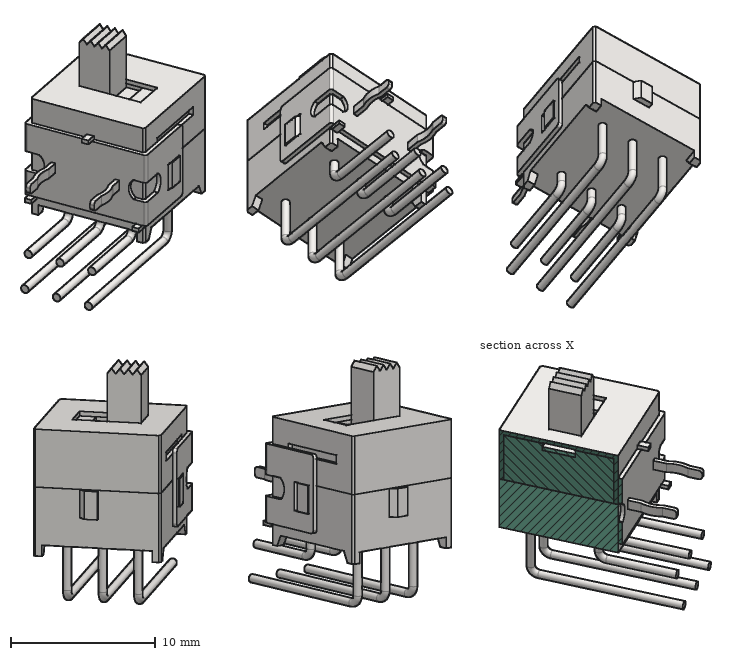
import cadquery as cq
import math


HOUSING_X = 9.01
HOUSING_Y = 8.8
CORNER_CHAMFER = 0.15
SPLIT_Z = 4.14
ROOF_Z = 8.27

FOOT_HEIGHT = 0.8
FOOT_GAP_X = 7.8
FOOT_GAP_Y_TOP = 6.76
FOOT_GAP_Y_BOTTOM = 7.55

LATCH_HEIGHT_Z = 2.02
LATCH_RISE = 0.4
SIDE_LATCH_FRONT_Y = -1.54
SIDE_LATCH_BACK_Y = -0.02
REAR_LATCH_LEFT_X = -0.1
REAR_LATCH_RIGHT_X = 1.22

PIN_DIAMETER = 0.61
PIN_PITCH = 2.51
PIN_BEND_RADIUS = 0.61
LONG_PIN_LOWEST_Z = -4.45
LONG_PIN_Z = LONG_PIN_LOWEST_Z + PIN_DIAMETER / 2
SHORT_PIN_Z = LONG_PIN_Z + PIN_PITCH
LONG_PIN_TIP_Y = -8.82
SHORT_PIN_TIP_Y = -8.32

COVER_THICKNESS = 0.33
SLOT_X = 4.86
WINDOW_Y = 5.11
WINDOW_BOTTOM_Z = 6.02
WINDOW_TOP_Z = 6.65

KNOB_WIDTH = 2.4
KNOB_TIP_Z = 12.09
TOOTH_COUNT = 4
TOOTH_DEPTH = 0.4
FLANGE_REACH = 1.29
FLANGE_DROP = 0.3
FLANGE_THICKNESS = 0.3

SHEET = 0.31
BRACKET_BOTTOM_Z = 0.78
BRACKET_TOP_Z = 6.37
BRACKET_BACK_Y = 0.5
BEND_RADIUS = 0.2
LEG_CORNER_RADIUS = 0.26
NOTCH_Z = 3.42
NOTCH_HEIGHT = 1.52
NOTCH_BULGE = 0.41
NOTCH_STRAIGHT_Y = -3.05
LEFT_NOTCH_STRAIGHT_X = 3.65
RIGHT_NOTCH_STRAIGHT_X = 3.84
TAB_WIDTH_TOP = 0.53
TAB_WIDTH_BOTTOM = 0.51
TAB_TIP_Y = -5.23
TAB_BEND_RADIUS = 0.12

BLADE_X = 2.53
BLADE_THICKNESS = 0.33
BLADE_HEIGHT = 0.75
BLADE_Z = 3.49
BLADE_TIP_Y = SHORT_PIN_TIP_Y
BLADE_TIP_RADIUS = 0.25
BOW_START_Y = -5.69
BOW_END_Y = -7.28
BOW_DEPTH = 0.15

SIDE_X = HOUSING_X / 2
FRONT_Y = -HOUSING_Y / 2
CORE_X = HOUSING_X - 2 * COVER_THICKNESS
CORE_Y = HOUSING_Y - 2 * COVER_THICKNESS
CORE_TOP_Z = ROOF_Z - COVER_THICKNESS
FLANGE_TOP_Z = CORE_TOP_Z - FLANGE_DROP
FLANGE_BOTTOM_Z = FLANGE_TOP_Z - FLANGE_THICKNESS
FLANGE_X = KNOB_WIDTH + 2 * FLANGE_REACH
KNOB_X = (KNOB_WIDTH - SLOT_X) / 2
LATCH_Z = SPLIT_Z - LATCH_HEIGHT_Z
BRACKET_X = HOUSING_X + 2 * SHEET
BRACKET_FRONT_Y = FRONT_Y - SHEET


def box(x_min, x_max, y_min, y_max, z_min, z_max):
    corner = (x_min, y_min, z_min)
    return cq.Workplane("XY").box(
        x_max - x_min, y_max - y_min, z_max - z_min, centered=False
    ).translate(corner)


def centred_box(x_size, y_size, z_min, z_max):
    return box(-x_size / 2, x_size / 2, -y_size / 2, y_size / 2, z_min, z_max)


def housing_block(z_min, z_max):
    return centred_box(HOUSING_X, HOUSING_Y, z_min, z_max).edges("|Z").chamfer(CORNER_CHAMFER)


def mirrored_pair(shape):
    return shape.union(shape.mirror("YZ"))



def side_latch():
    outline = [
        (-SIDE_X, SIDE_LATCH_FRONT_Y),
        (-SIDE_X - LATCH_RISE, SIDE_LATCH_FRONT_Y + LATCH_RISE),
        (-SIDE_X - LATCH_RISE, SIDE_LATCH_BACK_Y),
        (-SIDE_X, SIDE_LATCH_BACK_Y),
    ]
    return cq.Workplane("XY", origin=(0, 0, LATCH_Z)).polyline(outline).close().extrude(LATCH_HEIGHT_Z)


def rear_latch():
    back_y = HOUSING_Y / 2
    outline = [
        (REAR_LATCH_LEFT_X, back_y),
        (REAR_LATCH_LEFT_X, back_y + LATCH_RISE),
        (REAR_LATCH_RIGHT_X - LATCH_RISE, back_y + LATCH_RISE),
        (REAR_LATCH_RIGHT_X, back_y),
    ]
    return cq.Workplane("XY", origin=(0, 0, LATCH_Z)).polyline(outline).close().extrude(LATCH_HEIGHT_Z)


def bent_pin(x, y, run_z, tip_y):
    """Pin that drops from the floor at (x, y), bends forward and runs along -Y at run_z to tip_y."""
    bend_middle = PIN_BEND_RADIUS * (1 - math.sqrt(0.5))
    path = (
        cq.Workplane("YZ", origin=(x, 0, 0))
        .moveTo(y, 0)
        .lineTo(y, run_z + PIN_BEND_RADIUS)
        .threePointArc((y - bend_middle, run_z + bend_middle), (y - PIN_BEND_RADIUS, run_z))
        .lineTo(tip_y, run_z)
    )
    return cq.Workplane("XY", origin=(x, y, 0)).circle(PIN_DIAMETER / 2).sweep(path)


def make_base():
    block = housing_block(-FOOT_HEIGHT, SPLIT_Z)
    channel_profile = [
        (-FOOT_GAP_Y_BOTTOM / 2, -FOOT_HEIGHT),
        (FOOT_GAP_Y_BOTTOM / 2, -FOOT_HEIGHT),
        (FOOT_GAP_Y_TOP / 2, 0),
        (-FOOT_GAP_Y_TOP / 2, 0),
    ]
    channel_along_x = (
        cq.Workplane("YZ").polyline(channel_profile).close().extrude(SIDE_X, both=True)
    )
    channel_along_y = centred_box(FOOT_GAP_X, HOUSING_Y, -FOOT_HEIGHT, 0)
    block = block.cut(channel_along_x).cut(channel_along_y)
    block = block.union(mirrored_pair(side_latch())).union(rear_latch())
    for x in (-PIN_PITCH, 0, PIN_PITCH):
        block = block.union(bent_pin(x, PIN_PITCH, LONG_PIN_Z, LONG_PIN_TIP_Y))
        block = block.union(bent_pin(x, -PIN_PITCH, SHORT_PIN_Z, SHORT_PIN_TIP_Y))
    return block



def make_core():
    recess = centred_box(FLANGE_X, KNOB_WIDTH, FLANGE_BOTTOM_Z, CORE_TOP_Z).translate((KNOB_X, 0, 0))
    return centred_box(CORE_X, CORE_Y, SPLIT_Z, CORE_TOP_Z).cut(recess)



def make_cover():
    cavity = centred_box(CORE_X, CORE_Y, SPLIT_Z, CORE_TOP_Z)
    slot = centred_box(SLOT_X, KNOB_WIDTH, CORE_TOP_Z, ROOF_Z)
    windows = centred_box(HOUSING_X, WINDOW_Y, WINDOW_BOTTOM_Z, WINDOW_TOP_Z)
    return housing_block(SPLIT_Z, ROOF_Z).cut(cavity).cut(slot).cut(windows)



def make_slider():
    left_x = KNOB_X - KNOB_WIDTH / 2
    tooth_pitch = KNOB_WIDTH / TOOTH_COUNT
    valley_z = KNOB_TIP_Z - TOOTH_DEPTH
    outline = [(left_x, FLANGE_BOTTOM_Z), (left_x, valley_z)]
    for tooth in range(TOOTH_COUNT):
        outline.append((left_x + (tooth + 0.5) * tooth_pitch, KNOB_TIP_Z))
        outline.append((left_x + (tooth + 1) * tooth_pitch, valley_z))
    outline.append((left_x + KNOB_WIDTH, FLANGE_BOTTOM_Z))
    knob = cq.Workplane("XZ").polyline(outline).close().extrude(KNOB_WIDTH / 2, both=True)
    flange = centred_box(FLANGE_X, KNOB_WIDTH, FLANGE_BOTTOM_Z, FLANGE_TOP_Z)
    return knob.union(flange.translate((KNOB_X, 0, 0)))



def notch_outline(plane, straight_end, outer_end):
    """Closed notch outline from outer_end to a rounded inner end that bulges past straight_end."""
    half = NOTCH_HEIGHT / 2
    return (
        cq.Workplane(plane)
        .moveTo(outer_end, NOTCH_Z - half)
        .lineTo(straight_end, NOTCH_Z - half)
        .threePointArc((straight_end + NOTCH_BULGE, NOTCH_Z), (straight_end, NOTCH_Z + half))
        .lineTo(outer_end, NOTCH_Z + half)
        .close()
    )


def corner_notches(front_straight_x):
    """Notch around the -X front corner; its front part runs straight up to -front_straight_x."""
    left_x = -BRACKET_X / 2
    side_cut = notch_outline("YZ", NOTCH_STRAIGHT_Y, BRACKET_FRONT_Y).extrude(left_x)
    front_cut = notch_outline("XZ", -front_straight_x, left_x).extrude(-BRACKET_FRONT_Y)
    side_depth = CORNER_CHAMFER - SIDE_X
    front_depth = CORNER_CHAMFER + FRONT_Y
    side_band = box(left_x, side_depth, BRACKET_FRONT_Y, BRACKET_BACK_Y, BRACKET_BOTTOM_Z, BRACKET_TOP_Z)
    front_band = box(left_x, 0, BRACKET_FRONT_Y, front_depth, BRACKET_BOTTOM_Z, BRACKET_TOP_Z)
    return side_cut.intersect(side_band).union(front_cut.intersect(front_band))


def forward_tabs():
    """One tab bent forward from the top edge and two from the ends of the bottom edge."""
    top = box(0, TAB_WIDTH_TOP, TAB_TIP_Y, FRONT_Y, BRACKET_TOP_Z, BRACKET_TOP_Z + SHEET)
    top = top.edges(">Y and >Z").fillet(TAB_BEND_RADIUS)
    bottom = box(
        -SIDE_X, TAB_WIDTH_BOTTOM - SIDE_X, TAB_TIP_Y, FRONT_Y, BRACKET_BOTTOM_Z - SHEET, BRACKET_BOTTOM_Z
    )
    bottom = bottom.edges(">Y and <Z").fillet(TAB_BEND_RADIUS)
    return top.union(mirrored_pair(bottom))


def blade_terminal():
    """Flat blade on the -X side with a shallow outward bow and a rounded tip."""
    inner_x = BLADE_THICKNESS / 2 - BLADE_X
    outer_x = -BLADE_THICKNESS / 2 - BLADE_X
    bow_y = (BOW_START_Y + BOW_END_Y) / 2
    blade = (
        cq.Workplane("XY", origin=(0, 0, BLADE_Z - BLADE_HEIGHT / 2))
        .moveTo(outer_x, FRONT_Y)
        .lineTo(outer_x, BOW_START_Y)
        .threePointArc((outer_x - BOW_DEPTH, bow_y), (outer_x, BOW_END_Y))
        .lineTo(outer_x, BLADE_TIP_Y)
        .lineTo(inner_x, BLADE_TIP_Y)
        .lineTo(inner_x, BOW_END_Y)
        .threePointArc((inner_x - BOW_DEPTH, bow_y), (inner_x, BOW_START_Y))
        .lineTo(inner_x, FRONT_Y)
        .close()
        .extrude(BLADE_HEIGHT)
    )
    return blade.faces("<Y").edges("|X").fillet(BLADE_TIP_RADIUS)


def make_bracket():
    sheet = box(
        -BRACKET_X / 2, BRACKET_X / 2, BRACKET_FRONT_Y, BRACKET_BACK_Y, BRACKET_BOTTOM_Z, BRACKET_TOP_Z
    )
    sheet = sheet.faces("<Y").edges("|Z").fillet(BEND_RADIUS)
    sheet = sheet.faces(">Y").edges("|X").fillet(LEG_CORNER_RADIUS)
    sheet = sheet.cut(housing_block(BRACKET_BOTTOM_Z, BRACKET_TOP_Z))
    latch_windows = centred_box(BRACKET_X, SIDE_LATCH_BACK_Y - SIDE_LATCH_FRONT_Y, LATCH_Z, SPLIT_Z)
    latch_windows = latch_windows.translate((0, (SIDE_LATCH_BACK_Y + SIDE_LATCH_FRONT_Y) / 2, 0))
    sheet = sheet.cut(latch_windows)
    sheet = sheet.cut(corner_notches(LEFT_NOTCH_STRAIGHT_X))
    sheet = sheet.cut(corner_notches(RIGHT_NOTCH_STRAIGHT_X).mirror("YZ"))
    return sheet.union(forward_tabs()).union(mirrored_pair(blade_terminal()))


base = make_base()
core = make_core()
cover = make_cover()
slider = make_slider()
bracket = make_bracket()

bodies = [base, core, cover, slider, bracket]
result = cq.Compound.makeCompound([body.solids().val() for body in bodies])